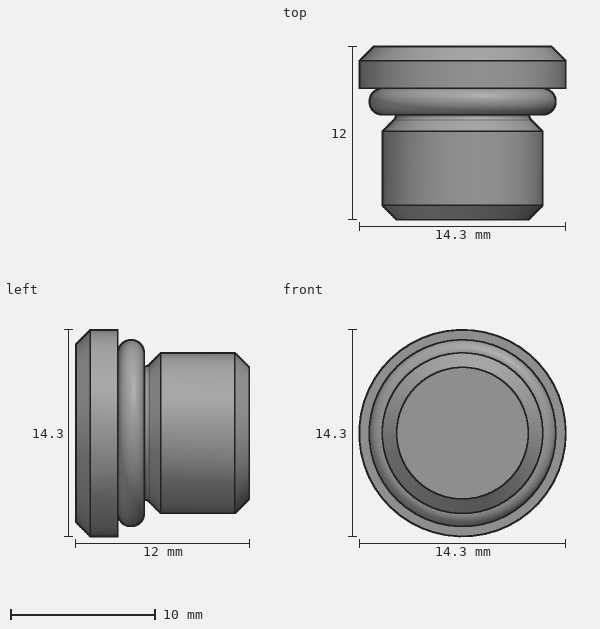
import cadquery as cq
import math

TOTAL_LENGTH = 12.0
HEAD_DIAMETER = 14.3
HEAD_LENGTH = 2.9
SHANK_DIAMETER = 11.11
EDGE_CHAMFER = 1.0

GROOVE_DIAMETER = 9.25
CONE_END = 2.97
ROOT_RADIUS = 0.4

RING_OUTER_DIAMETER = 12.91

head_radius = HEAD_DIAMETER / 2
shank_radius = SHANK_DIAMETER / 2
groove_radius = GROOVE_DIAMETER / 2
head_end_y = HEAD_LENGTH
shank_end_y = HEAD_LENGTH - TOTAL_LENGTH
cone_end_y = -CONE_END


def make_plug():
    """Revolve the plug's half profile (x = radius, y = axial position)."""
    half_cone_angle = math.radians(45)

    root_center_x = groove_radius + ROOT_RADIUS
    cone_start_x = root_center_x - ROOT_RADIUS * math.cos(half_cone_angle)
    cone_start_y = cone_end_y + (shank_radius - cone_start_x)
    root_center_y = cone_start_y + ROOT_RADIUS * math.sin(half_cone_angle)
    root_middle_x = root_center_x - ROOT_RADIUS * math.cos(half_cone_angle / 2)
    root_middle_y = root_center_y - ROOT_RADIUS * math.sin(half_cone_angle / 2)

    profile = (
        cq.Workplane("XY")
        .moveTo(0, head_end_y)
        .lineTo(head_radius - EDGE_CHAMFER, head_end_y)
        .lineTo(head_radius, head_end_y - EDGE_CHAMFER)
        .lineTo(head_radius, 0)
        .lineTo(groove_radius, 0)
        .lineTo(groove_radius, root_center_y)
        .threePointArc((root_middle_x, root_middle_y), (cone_start_x, cone_start_y))
        .lineTo(shank_radius, cone_end_y)
        .lineTo(shank_radius, shank_end_y + EDGE_CHAMFER)
        .lineTo(shank_radius - EDGE_CHAMFER, shank_end_y)
        .lineTo(0, shank_end_y)
        .close()
    )
    return profile.revolve(360, (0, 0, 0), (0, 1, 0))


def make_sealing_ring():
    """Round-section ring that touches the groove floor and the head's sealing face."""
    section_radius = (RING_OUTER_DIAMETER - GROOVE_DIAMETER) / 4
    section_center_x = groove_radius + section_radius
    section = cq.Workplane("XY").center(section_center_x, -section_radius).circle(section_radius)
    return section.revolve(360, (-section_center_x, 0, 0), (-section_center_x, 1, 0))


plug = make_plug()
sealing_ring = make_sealing_ring()

result = cq.Compound.makeCompound([plug.val(), sealing_ring.val()])